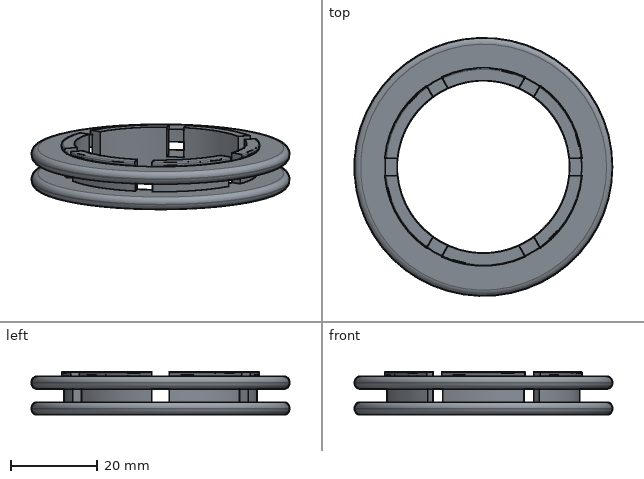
import cadquery as cq

flange_diameter = 60.0
bore_diameter = 40.0
collar_diameter = 45.0
ring_hole_diameter = 45.7
lip_diameter = 46.0
disc_thickness = 3.0
disc_gap = 3.0
edge_radius = 1.45
total_height = 10.0
lip_rounding = 0.3
slot_width = 4.0
slot_pair_count = 3

ring_bottom = disc_thickness + disc_gap
ring_top = ring_bottom + disc_thickness


def cylinder(diameter, bottom, top):
    return cq.Workplane("XY").workplane(offset=bottom).circle(diameter / 2).extrude(top - bottom)


def rounded_disc(bottom):
    """Disc whose outer rim is rounded on both sides."""
    disc = cylinder(flange_diameter, bottom, bottom + disc_thickness)
    return disc.edges("%CIRCLE").fillet(edge_radius)


def slot_cutter(angle):
    """Bar across the axis that opens two opposite slots above the flange."""
    bar = cq.Workplane("XY").workplane(offset=disc_thickness)
    bar = bar.rect(flange_diameter, slot_width).extrude(total_height - disc_thickness)
    return bar.rotate((0, 0, 0), (0, 0, 1), angle)


def make_hub():
    """Flange with a slotted collar of snap fingers, each ending in an outward lip."""
    collar = cylinder(collar_diameter, disc_thickness, total_height)
    lip = cylinder(lip_diameter, ring_top, total_height)
    collar = collar.union(lip.edges("%CIRCLE").fillet(lip_rounding))
    for index in range(slot_pair_count):
        collar = collar.cut(slot_cutter(index * 180 / slot_pair_count))
    bore = cylinder(bore_diameter, 0, total_height)
    return rounded_disc(0).union(collar).cut(bore)


def make_ring():
    """Loose ring around the collar, held under the lips of the fingers."""
    return rounded_disc(ring_bottom).cut(cylinder(ring_hole_diameter, ring_bottom, ring_top))


hub = make_hub()
ring = make_ring()

result = cq.Compound.makeCompound([hub.val(), ring.val()])